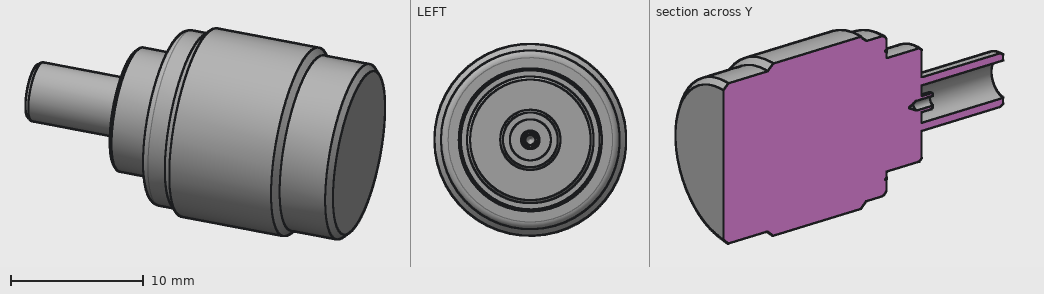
import cadquery as cq

TOTAL_LENGTH = 25.8

TUBE_RADIUS = 2.27
TUBE_CHAMFER_LENGTH = 0.3
TUBE_CHAMFER_DEPTH = 0.2

COLLAR_START = 7.5
COLLAR_RADIUS = 4.77
COLLAR_CHAMFER = 0.23

BORE_RADIUS = 1.55
BORE_DEPTH = COLLAR_START

NUT_START = 10.73
RIM_RADIUS = 6.73
RIM_FILLET = 0.55
GRIP_START = 12.62
GRIP_END = 21.72
GRIP_DIAMETER = 14.47
GRIP_RADIUS = GRIP_DIAMETER / 2
GRIP_CHAMFER = 0.52
FRONT_CHAMFER = 0.46

BODY_RADIUS = 5.4
BODY_CHAMFER = 0.15

PIN_RADIUS = 0.7
PIN_LENGTH = 1.03
PIN_CHAMFER = 0.13
CUP_RADIUS = 0.39
CUP_DEPTH = 1.55
CUP_TIP_DEPTH = 0.67


def revolve_about_x(profile):
    """Turn a closed (x, radius) profile about the X axis."""
    return profile.close().revolve(360, (0, 0, 0), (1, 0, 0))


def plug_body():
    """Outer form of tube, collar, seated body and coupling nut."""
    profile = (
        cq.Workplane("XY")
        .moveTo(0, 0)
        .lineTo(0, TUBE_RADIUS - TUBE_CHAMFER_DEPTH)
        .lineTo(TUBE_CHAMFER_LENGTH, TUBE_RADIUS)
        .lineTo(COLLAR_START, TUBE_RADIUS)
        .lineTo(COLLAR_START, COLLAR_RADIUS - COLLAR_CHAMFER)
        .lineTo(COLLAR_START + COLLAR_CHAMFER, COLLAR_RADIUS)
        .lineTo(NUT_START, COLLAR_RADIUS)
        .lineTo(NUT_START, BODY_RADIUS - BODY_CHAMFER)
        .lineTo(NUT_START + BODY_CHAMFER, BODY_RADIUS)
        .lineTo(NUT_START, BODY_RADIUS)
        .lineTo(NUT_START, RIM_RADIUS - RIM_FILLET)
        .radiusArc((NUT_START + RIM_FILLET, RIM_RADIUS), RIM_FILLET)
        .lineTo(GRIP_START, RIM_RADIUS)
        .lineTo(GRIP_START + GRIP_CHAMFER, GRIP_RADIUS)
        .lineTo(GRIP_END - GRIP_CHAMFER, GRIP_RADIUS)
        .lineTo(GRIP_END, RIM_RADIUS)
        .lineTo(TOTAL_LENGTH - FRONT_CHAMFER, RIM_RADIUS)
        .lineTo(TOTAL_LENGTH, RIM_RADIUS - FRONT_CHAMFER)
        .lineTo(TOTAL_LENGTH, 0)
    )
    return revolve_about_x(profile)


def bore():
    """Cable bore, open at the tube end."""
    return cq.Workplane("YZ").circle(BORE_RADIUS).extrude(BORE_DEPTH)


def pin():
    """Contact pin on the bore floor."""
    tip = BORE_DEPTH - PIN_LENGTH
    profile = (
        cq.Workplane("XY")
        .moveTo(tip, 0)
        .lineTo(tip, PIN_RADIUS - PIN_CHAMFER)
        .lineTo(tip + PIN_CHAMFER, PIN_RADIUS)
        .lineTo(BORE_DEPTH, PIN_RADIUS)
        .lineTo(BORE_DEPTH, 0)
    )
    return revolve_about_x(profile)


def solder_cup():
    """Blind hole with a conical end in the pin."""
    mouth = BORE_DEPTH - PIN_LENGTH
    profile = (
        cq.Workplane("XY")
        .moveTo(mouth, 0)
        .lineTo(mouth, CUP_RADIUS)
        .lineTo(mouth + CUP_DEPTH, CUP_RADIUS)
        .lineTo(mouth + CUP_DEPTH + CUP_TIP_DEPTH, 0)
    )
    return revolve_about_x(profile)


result = plug_body().cut(bore()).union(pin()).cut(solder_cup())